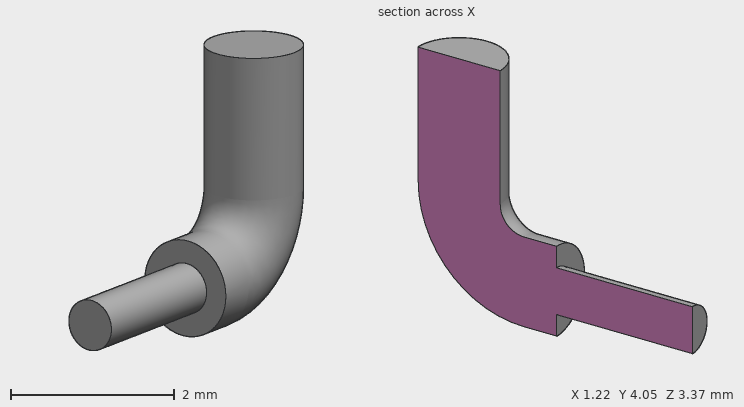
import cadquery as cq

total_length = 4.05
total_height = 3.37

rod_diameter = 1.22
bend_radius = 0.95
pin_diameter = 0.64
pin_length = 2.0

rod_radius = rod_diameter / 2
upright_length = total_height - rod_radius - bend_radius
collar_length = total_length - rod_radius - bend_radius - pin_length


def bent_rod():
    """Upright rod with a quarter bend and a short straight collar toward -Y.

    The upright's axis is the Z axis; the collar's axis lies at Z = 0.
    """
    path = (
        cq.Workplane("YZ")
        .moveTo(0, bend_radius + upright_length)
        .lineTo(0, bend_radius)
        .radiusArc((-bend_radius, 0), bend_radius)
        .lineTo(-bend_radius - collar_length, 0)
    )
    return (
        cq.Workplane("XY", origin=(0, 0, bend_radius + upright_length))
        .circle(rod_radius)
        .sweep(path)
    )


def pin():
    """Thin pin continuing from the collar's end face toward -Y."""
    collar_end = (0, -bend_radius - collar_length, 0)
    return cq.Workplane("XZ", origin=collar_end).circle(pin_diameter / 2).extrude(pin_length)


result = bent_rod().union(pin())